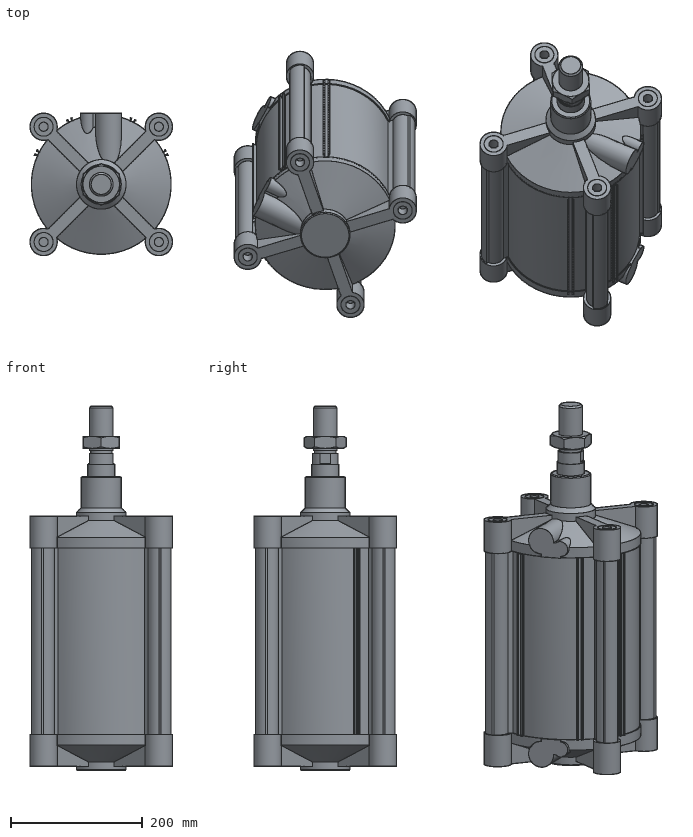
import cadquery as cq
import math

total_height = 553.0
overall_width = 216.0

boss_spacing = 175.0
boss_offset = boss_spacing / 2
boss_radius = (overall_width - boss_spacing) / 2
boss_height = 48.5
flange_diameter = 212.5
flange_height = 16.0
hub_diameter = 75.0
hub_start = 42.0
rib_width = 18.0
recess_diameter = 29.0
recess_depth = 0.5
screw_hole_diameter = 14.0
screw_hole_depth = 22.0

port_diameter = 40.0
port_x = 11.0
port_height = 24.5
cushion_diameter = 23.0
cushion_x = -20.0
cushion_height = 14.5
bridge_top = 23.0

collar_height = 6.5
collar_chamfer = 1.5
barrel_bottom = collar_height + boss_height
cap_top = 386.0
barrel_top = cap_top - boss_height
hub_rise = 5.5
sleeve_diameter = 61.0
sleeve_top = 446.0
sleeve_chamfer = 1.5

barrel_diameter = 209.0
lobe_diameter = 32.5
pad_radius = 19.0
pad_taper_start = 8.5
pad_base_width = 23.0
pad_outer_width = 21.5
web_width = 23.0
rail_angle = 26.0
rail_radius = 110.5
rail_gap = 4.5
rail_wall = 1.4
rail_lip_width = 3.0
rail_lip_thickness = 1.4

rod_diameter = 41.5
rod_shoulder = 464.0
flats_diameter = 39.0
flats_width = 36.0
flats_height = 15.0
undercut_bottom = 481.0
undercut_top = 485.5
undercut_diameter = 32.5
thread_diameter = 36.0
thread_chamfer = 3.0

nut_bottom = 489.0
nut_height = 18.0
nut_across_flats = 55.5
nut_chamfer_angle = 30.0


def cylinder(diameter, bottom, top):
    """Round bar on the Z axis."""
    return cq.Workplane("XY").workplane(offset=bottom).circle(diameter / 2).extrude(top - bottom)


def corner_points():
    return [(sx * boss_offset, sy * boss_offset) for sx in (-1, 1) for sy in (-1, 1)]


def side_boss(diameter, x, z):
    """Round boss along Y, from the cap axis out to the +Y face."""
    return (
        cq.Workplane("XZ", origin=(x, 0, z))
        .circle(diameter / 2)
        .extrude(-overall_width / 2)
    )


def make_cap(hub_projection):
    """Cap with its barrel face at Z = 0 and its hub standing proud of the bosses; used at both ends."""
    hub_top = boss_height + hub_projection
    flange_radius = flange_diameter / 2
    hub_radius = hub_diameter / 2
    cap = (
        cq.Workplane("XZ")
        .polyline([
            (0, 0),
            (flange_radius, 0),
            (flange_radius, flange_height),
            (hub_radius, hub_start),
            (hub_radius, hub_top),
            (0, hub_top),
        ])
        .close()
        .revolve(360, (0, 0), (0, 1))
    )

    diagonal = 2 * math.hypot(boss_offset, boss_offset)
    for angle in (45, 135):
        rib = cq.Workplane("XY").rect(diagonal, rib_width).extrude(boss_height)
        cap = cap.union(rib.rotate((0, 0, 0), (0, 0, 1), angle))
    cap = cap.union(cq.Workplane("XY").pushPoints(corner_points()).circle(boss_radius).extrude(boss_height))

    cap = cap.union(side_boss(port_diameter, port_x, port_height))
    cap = cap.union(side_boss(cushion_diameter, cushion_x, cushion_height))

    bridge = (
        cq.Workplane("XZ")
        .polyline([(cushion_x, 0), (port_x, 0), (port_x, bridge_top), (cushion_x, bridge_top)])
        .close()
        .extrude(-overall_width / 2)
    )
    cap = cap.union(bridge)

    bosses_top = cq.Workplane("XY").workplane(offset=boss_height).pushPoints(corner_points())
    screw_holes = bosses_top.circle(screw_hole_diameter / 2).extrude(-screw_hole_depth)
    recesses = bosses_top.circle(recess_diameter / 2).extrude(-recess_depth)
    return cap.cut(screw_holes).cut(recesses)


def make_end_cap():
    """Cap turned upside down below the barrel, its hub edge chamfered."""
    cap = make_cap(collar_height).faces(">Z").chamfer(collar_chamfer)
    return cap.mirror("XY").translate((0, 0, barrel_bottom))


def make_bearing_cap():
    """Cap with a conical shoulder and a guide sleeve, bored for the piston rod."""
    shoulder_height = (hub_diameter - sleeve_diameter) / 2
    shoulder = (
        cq.Workplane("XY").workplane(offset=cap_top + hub_rise)
        .circle(hub_diameter / 2).extrude(shoulder_height, taper=45)
    )
    sleeve = cylinder(sleeve_diameter, cap_top, sleeve_top).faces(">Z").chamfer(sleeve_chamfer)
    cap = make_cap(hub_rise).translate((0, 0, barrel_top)).union(shoulder).union(sleeve)
    return cap.cut(cylinder(rod_diameter, barrel_top, sleeve_top))


def make_barrel():
    """Round barrel with four webbed corner lobes and four sensor rails, one extrusion."""
    length = barrel_top - barrel_bottom
    barrel = cq.Workplane("XY").circle(barrel_diameter / 2).extrude(length)

    lobe_center = math.hypot(boss_offset, boss_offset)
    web = cq.Workplane("XY").center(lobe_center / 2, 0).rect(lobe_center, web_width).extrude(length)
    lobe = cq.Workplane("XY").center(lobe_center, 0).circle(lobe_diameter / 2).extrude(length)
    pad_slab = (
        cq.Workplane("XY").center(lobe_center, 0)
        .polyline([
            (0, -pad_base_width / 2),
            (pad_taper_start, -pad_base_width / 2),
            (pad_radius, -pad_outer_width / 2),
            (pad_radius, pad_outer_width / 2),
            (pad_taper_start, pad_base_width / 2),
            (0, pad_base_width / 2),
        ])
        .close()
        .extrude(length)
    )
    pad = cq.Workplane("XY").center(lobe_center, 0).circle(pad_radius).extrude(length).intersect(pad_slab)
    corner = web.union(lobe).union(pad)
    for angle in (45, 135, 225, 315):
        barrel = barrel.union(corner.rotate((0, 0, 0), (0, 0, 1), angle))

    root = barrel_diameter / 2 - rail_lip_width
    inner = rail_gap / 2
    lip = (
        cq.Workplane("XY")
        .polyline([
            (root, inner),
            (rail_radius, inner),
            (rail_radius, inner + rail_lip_width),
            (rail_radius - rail_lip_thickness, inner + rail_lip_width),
            (rail_radius - rail_lip_thickness, inner + rail_wall),
            (root, inner + rail_wall),
        ])
        .close()
        .extrude(length)
    )
    rail = lip.union(lip.mirror("XZ"))
    for angle in (rail_angle, 90 - rail_angle, 90 + rail_angle, 180 - rail_angle):
        barrel = barrel.union(rail.rotate((0, 0, 0), (0, 0, 1), angle))
    return barrel.translate((0, 0, barrel_bottom))


def make_piston_rod():
    """Rod with wrench flats, a thread undercut and a chamfered thread."""
    rod = cylinder(rod_diameter, barrel_top, rod_shoulder)
    flats_bottom = undercut_bottom - flats_height
    shank = cylinder(flats_diameter, rod_shoulder, flats_bottom)
    flats_slab = (
        cq.Workplane("XY").workplane(offset=flats_bottom)
        .rect(flats_width, flats_diameter).extrude(flats_height)
    )
    flats = cylinder(flats_diameter, flats_bottom, undercut_bottom).intersect(flats_slab)
    undercut = cylinder(undercut_diameter, undercut_bottom, undercut_top)
    thread = cylinder(thread_diameter, undercut_top, total_height).faces(">Z").chamfer(thread_chamfer)
    return rod.union(shank).union(flats).union(undercut).union(thread)


def make_nut():
    """Hexagon nut with two flats facing X and corners turned off at both ends."""
    half_side_angle = 30
    nut_top = nut_bottom + nut_height
    corner_diameter = nut_across_flats / math.cos(math.radians(half_side_angle))
    hexagon = (
        cq.Workplane("XY").workplane(offset=nut_bottom)
        .polygon(6, corner_diameter).extrude(nut_height)
        .rotate((0, 0, 0), (0, 0, 1), half_side_angle)
    )
    chamfer_width = (corner_diameter - nut_across_flats) / 2
    chamfer_depth = chamfer_width * math.tan(math.radians(nut_chamfer_angle))
    turned_blank = cylinder(corner_diameter, nut_bottom, nut_top)
    turned_blank = turned_blank.faces("<Z or >Z").chamfer(chamfer_depth, chamfer_width)
    return hexagon.intersect(turned_blank).cut(cylinder(thread_diameter, nut_bottom, nut_top))


end_cap = make_end_cap()
barrel = make_barrel()
bearing_cap = make_bearing_cap()
piston_rod = make_piston_rod()
nut = make_nut()

result = cq.Compound.makeCompound([
    end_cap.val(),
    barrel.val(),
    bearing_cap.val(),
    piston_rod.val(),
    nut.val(),
])